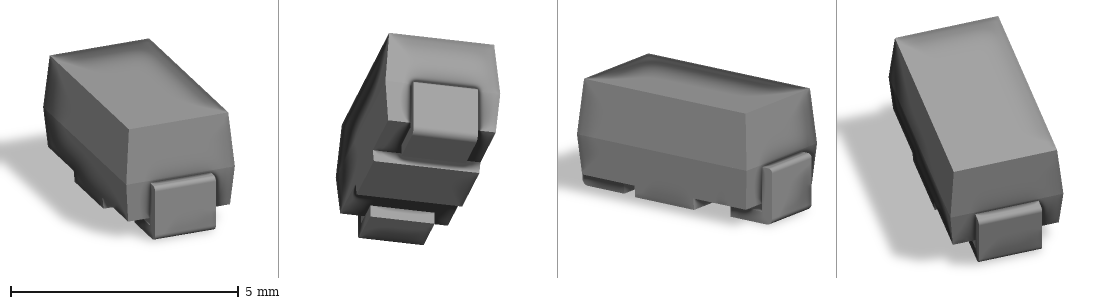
import cadquery as cq
import math

LENGTH = 5.2
HEIGHT = 2.62

LEAD_WIDTH = 1.455
LEAD_THICKNESS = 0.275
LEAD_TOP = 1.3
LEAD_REACH = 1.145
LEAD_TOP_RADIUS = 0.1
LEAD_BOTTOM_RADIUS = 0.15

HOUSING_LENGTH = LENGTH - 2 * LEAD_THICKNESS
HOUSING_WIDTH = 2.6
PARTING_HEIGHT = 1.35
DRAFT_ANGLE = 5.0
HOUSING_BOTTOM = 0.42
PEDESTAL_LENGTH = 1.61
PEDESTAL_BOTTOM = 0.15

BAND_OFFSET = 0.885
BAND_WIDTH = 0.395
BAND_DEPTH = 0.045


def tapered_block(far_height):
    """Block from the parting plane to far_height, narrowing by the draft angle."""
    distance = far_height - PARTING_HEIGHT
    inset = abs(distance) * math.tan(math.radians(DRAFT_ANGLE))
    return (
        cq.Workplane("XY", origin=(0, 0, PARTING_HEIGHT))
        .rect(HOUSING_LENGTH, HOUSING_WIDTH)
        .workplane(offset=distance)
        .rect(HOUSING_LENGTH - 2 * inset, HOUSING_WIDTH - 2 * inset)
        .loft(ruled=True)
    )


def make_lower_housing():
    """Lower half with a central pedestal whose long sides continue the draft."""
    pedestal_slab = cq.Workplane("XY").box(
        PEDESTAL_LENGTH, HOUSING_WIDTH, PARTING_HEIGHT, centered=(True, True, False)
    )
    pedestal = tapered_block(PEDESTAL_BOTTOM).intersect(pedestal_slab)
    return tapered_block(HOUSING_BOTTOM).union(pedestal)


def make_band(upper_block):
    """Strip across the top, its ends following the housing sides."""
    strip = cq.Workplane(
        "XY", origin=(BAND_OFFSET - LENGTH / 2, 0, HEIGHT - BAND_DEPTH)
    ).box(BAND_WIDTH, HOUSING_WIDTH, BAND_DEPTH, centered=(False, True, False))
    return upper_block.intersect(strip)


def make_lead_plate(side):
    """Upright plate with rounded outer edges; side is -1 (left) or +1 (right)."""
    outer = "<X" if side < 0 else ">X"
    center_x = side * (LENGTH - LEAD_THICKNESS) / 2
    plate = cq.Workplane("XY", origin=(center_x, 0, 0)).box(
        LEAD_THICKNESS, LEAD_WIDTH, LEAD_TOP, centered=(True, True, False)
    )
    plate = plate.faces(outer).edges(">Z").fillet(LEAD_TOP_RADIUS)
    return plate.faces(outer).edges("<Z").fillet(LEAD_BOTTOM_RADIUS)


def make_lead_foot(side):
    """Flat foot running inward from the plate; side is -1 (left) or +1 (right)."""
    foot_length = LEAD_REACH - LEAD_THICKNESS
    center_x = side * (HOUSING_LENGTH - foot_length) / 2
    return cq.Workplane("XY", origin=(center_x, 0, 0)).box(
        foot_length, LEAD_WIDTH, LEAD_THICKNESS, centered=(True, True, False)
    )


upper_block = tapered_block(HEIGHT)
band = make_band(upper_block)
upper_housing = upper_block.cut(band)
lower_housing = make_lower_housing()

lead_plates = []
lead_feet = []
for side in (-1, 1):
    lead_plates.append(make_lead_plate(side).val())
    lead_feet.append(make_lead_foot(side).val())

result = cq.Compound.makeCompound(
    [
        upper_housing.solids().val(),
        lower_housing.solids().val(),
        band.solids().val(),
        *lead_plates,
        *lead_feet,
    ]
)